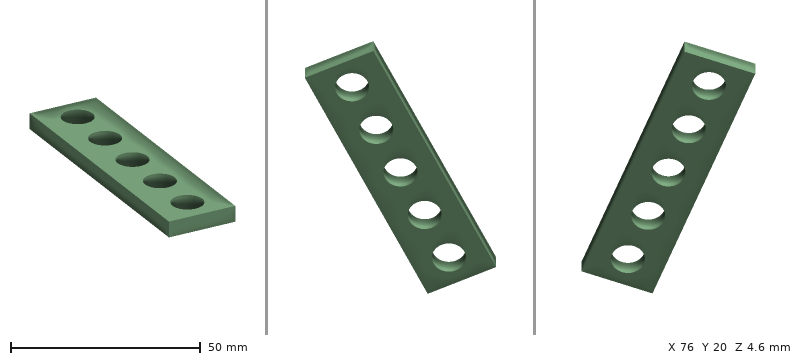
import cadquery as cq

length = 76.0
width = 20.0
thickness = 4.6

hole_count = 5
hole_diameter = 9.0
hole_pitch = 15.0

bar = cq.Workplane("XY").box(length, width, thickness)

result = (
    bar.faces(">Z")
    .workplane()
    .rarray(hole_pitch, width, hole_count, 1)
    .hole(hole_diameter)
)